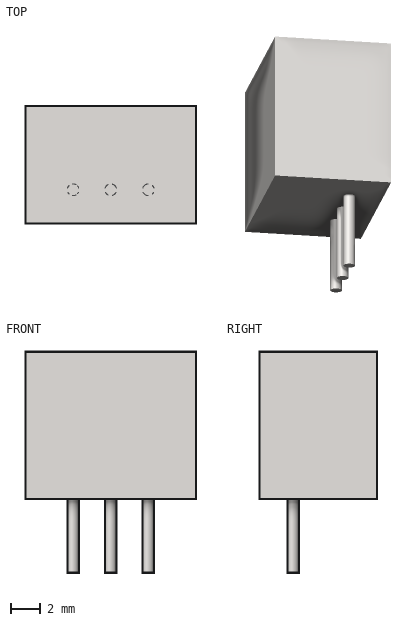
import cadquery as cq

HOUSING_LENGTH = 11.6
HOUSING_WIDTH = 8.0
OVERALL_HEIGHT = 15.0
PIN_LENGTH = 5.0
HOUSING_HEIGHT = OVERALL_HEIGHT - PIN_LENGTH

PIN_DIAMETER = 0.8
PIN_PITCH = 2.55
PIN_COUNT = 3
PIN_FRONT_SETBACK = 2.3
PIN_ROW_Y = -HOUSING_WIDTH / 2 + PIN_FRONT_SETBACK


def make_housing():
    """Plain rectangular block standing on Z = 0."""
    return cq.Workplane("XY").box(
        HOUSING_LENGTH, HOUSING_WIDTH, HOUSING_HEIGHT, centered=(True, True, False)
    )


def make_pin(x):
    """Round pin hanging from the underside of the housing."""
    return cq.Workplane("XY").center(x, PIN_ROW_Y).circle(PIN_DIAMETER / 2).extrude(-PIN_LENGTH)


housing = make_housing()

pins = []
for index in range(PIN_COUNT):
    pin_x = (index - (PIN_COUNT - 1) / 2) * PIN_PITCH
    pins.append(make_pin(pin_x))

result = cq.Compound.makeCompound([housing.val(), *[pin.val() for pin in pins]])